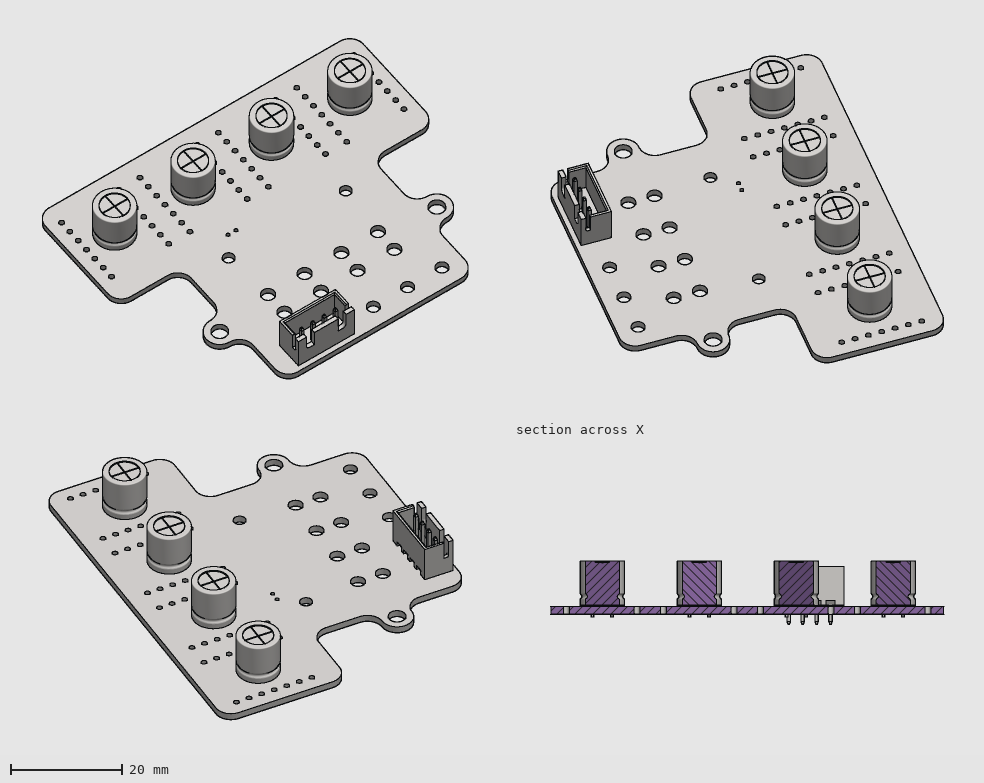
import cadquery as cq
import math


BOARD_LENGTH = 56.52
BOARD_THICKNESS = 1.4
SEAT_GAP = 0.2
SEAT_Z = BOARD_THICKNESS + SEAT_GAP
LEFT_WIDTH = 25.0
HALF_WIDTH = 35.285
CORNER_RADIUS = 3.0
EAR_RADIUS = 3.0
EAR_X = 40.81
EAR_Y = 24.105
EAR_HOLE_DIAMETER = 3.2
STEP_Y = EAR_Y - CORNER_RADIUS

MODULE_X = 11.65
MODULE_PITCH = 17.41
MODULE_COUNT = 4
HEADER_PITCH = 2.54
HEADER_HOLE_COUNT = 7
HEADER_ROW_SPACING = 12.7
HEADER_HOLE_DIAMETER = 1.02
TERMINAL_COLUMNS_X = (39.1, 44.1)
TERMINAL_PITCH = 8.13
TERMINAL_ROW_COUNT = 4
TERMINAL_HOLE_DIAMETER = 2.7
POWER_X = 52.48
POWER_PITCH = 7.62
POWER_COUNT = 3
POWER_CENTRE_Y = 9.12
POWER_HOLE_DIAMETER = 2.5
LOCATING_X = 28.18
LOCATING_SPACING = 26.0
LOCATING_HOLE_DIAMETER = 2.3
INNER_HOLES_Y = 0.06
VIA_X = 23.88
VIA_PITCH = 1.75
VIA_CENTRE_Y = -9.06
VIA_DIAMETER = 0.7

CAN_OFFSET_Y = -0.1
CAN_DIAMETER = 8.0
CAN_HEIGHT = 8.0
CAN_TOP_FILLET = 0.2
CRIMP_HEIGHT = 1.6
CRIMP_WIDTH = 0.9
CRIMP_DEPTH = 0.3
CRIMP_FILLET = 0.3
TOP_RECESS_DIAMETER = 5.6
TOP_RECESS_DEPTH = 0.25
SCORE_WIDTH = 0.1
SCORE_DEPTH = 0.1
LEAD_SPACING = 3.5
LEAD_DIAMETER = 0.5
LEAD_HOLE_DIAMETER = 0.8
LEAD_PROTRUSION = 0.5

HOUSING_X = 49.85
HOUSING_Y = -11.2
HOUSING_DEPTH = 5.75
HOUSING_LENGTH = 12.4
HOUSING_HEIGHT = 7.0
WALL_BOTTOM = 0.7
WALL_TOP = 0.45
LATCH_WALL = 0.9
LEAD_IN_HEIGHT = 0.25
FLOOR_THICKNESS = 1.5
SLOT_DEPTH = 3.5
END_SLOT_WIDTH = 0.9
END_SLOT_FILLET = 0.4
LATCH_SLOT_INNER = 2.65
LATCH_SLOT_OUTER = 4.4
LATCH_SLOT_FILLET = 0.8
BASE_NOTCH_WIDTH = 1.6
BASE_NOTCH_HEIGHT = 0.9
BASE_NOTCH_RUN = 0.6

PIN_COUNT = 4
PIN_PITCH = 2.5
PIN_WIDTH = 0.64
PIN_X = HOUSING_X + 3.4
PIN_HOLE_DIAMETER = 0.95
PIN_TOP = 6.8
PIN_BOTTOM = 3.4
PIN_TIP_LENGTH = 0.5
PIN_TIP_WIDTH = 0.3


def spread(count, pitch, centre=0.0):
    """Evenly spaced positions about a centre."""
    return [centre + (i - (count - 1) / 2) * pitch for i in range(count)]


MODULE_YS = spread(MODULE_COUNT, MODULE_PITCH)
CAN_YS = [y + CAN_OFFSET_Y for y in MODULE_YS]
LEAD_OFFSETS = spread(2, LEAD_SPACING)
PIN_YS = spread(PIN_COUNT, PIN_PITCH, HOUSING_Y)


def grid(xs, ys):
    return [(x, y) for x in xs for y in ys]


def board_blank():
    """Plate with a wide left part, a narrower right part and an ear on each long side."""
    r = CORNER_RADIUS
    left = (
        cq.Workplane("XY")
        .rect(LEFT_WIDTH, 2 * HALF_WIDTH)
        .extrude(BOARD_THICKNESS)
        .translate((LEFT_WIDTH / 2, 0, 0))
        .edges("|Z")
        .fillet(r)
    )
    right_length = BOARD_LENGTH - LEFT_WIDTH / 2
    right = (
        cq.Workplane("XY")
        .rect(right_length, 2 * STEP_Y)
        .extrude(BOARD_THICKNESS)
        .translate((BOARD_LENGTH - right_length / 2, 0, 0))
        .edges("|Z and >X")
        .fillet(r)
    )
    blank = left.union(right)
    for side in (1, -1):
        ear = cq.Workplane("XY").center(EAR_X, side * EAR_Y).circle(EAR_RADIUS).extrude(BOARD_THICKNESS)
        blank = blank.union(ear)
        for corner_x, direction in (
            (LEFT_WIDTH, 1),
            (EAR_X - EAR_RADIUS, -1),
            (EAR_X + EAR_RADIUS, 1),
        ):
            blank = blank.union(inside_corner(corner_x, direction, side))
        neck = (
            cq.Workplane("XY")
            .center(EAR_X, side * (STEP_Y + EAR_Y) / 2)
            .rect(2 * EAR_RADIUS, EAR_Y - STEP_Y)
            .extrude(BOARD_THICKNESS)
        )
        blank = blank.union(neck)
    return blank


def inside_corner(corner_x, direction, side):
    """Concave quarter-round that fills the corner between a side wall and the long edge."""
    r = CORNER_RADIUS
    to_arc = r * (1 - math.sqrt(0.5))
    return (
        cq.Workplane("XY")
        .moveTo(corner_x, side * STEP_Y)
        .lineTo(corner_x + direction * r, side * STEP_Y)
        .threePointArc(
            (corner_x + direction * to_arc, side * (STEP_Y + to_arc)),
            (corner_x, side * (STEP_Y + r)),
        )
        .close()
        .extrude(BOARD_THICKNESS)
    )


def make_board():
    header_xs = spread(HEADER_HOLE_COUNT, HEADER_PITCH, MODULE_X)
    header_ys = [y + row for y in MODULE_YS for row in spread(2, HEADER_ROW_SPACING)]
    terminal_ys = spread(TERMINAL_ROW_COUNT, TERMINAL_PITCH, INNER_HOLES_Y)
    lead_ys = [y + offset for y in CAN_YS for offset in LEAD_OFFSETS]
    hole_groups = [
        (EAR_HOLE_DIAMETER, grid([EAR_X], [-EAR_Y, EAR_Y])),
        (HEADER_HOLE_DIAMETER, grid(header_xs, header_ys)),
        (TERMINAL_HOLE_DIAMETER, grid(TERMINAL_COLUMNS_X, terminal_ys)),
        (POWER_HOLE_DIAMETER, grid([POWER_X], spread(POWER_COUNT, POWER_PITCH, POWER_CENTRE_Y))),
        (LOCATING_HOLE_DIAMETER, grid([LOCATING_X], spread(2, LOCATING_SPACING, INNER_HOLES_Y))),
        (VIA_DIAMETER, grid([VIA_X], spread(2, VIA_PITCH, VIA_CENTRE_Y))),
        (LEAD_HOLE_DIAMETER, grid([MODULE_X], lead_ys)),
        (PIN_HOLE_DIAMETER, grid([PIN_X], PIN_YS)),
    ]
    board = board_blank()
    for diameter, points in hole_groups:
        drills = cq.Workplane("XY").pushPoints(points).circle(diameter / 2).extrude(BOARD_THICKNESS)
        board = board.cut(drills)
    return board


def make_capacitor(y):
    """Can with a rounded rim, a crimp groove, a cross-scored recess on top and two leads."""
    radius = CAN_DIAMETER / 2
    crimp_low = CRIMP_HEIGHT - CRIMP_WIDTH / 2
    crimp_high = CRIMP_HEIGHT + CRIMP_WIDTH / 2
    crimp_edges = cq.selectors.BoxSelector(
        (-radius / 2, -radius / 2, crimp_low / 2),
        (radius / 2, radius / 2, CAN_HEIGHT / 2),
    )
    can = (
        cq.Workplane("XZ")
        .lineTo(radius, 0)
        .lineTo(radius, crimp_low)
        .threePointArc((radius - CRIMP_DEPTH, CRIMP_HEIGHT), (radius, crimp_high))
        .lineTo(radius, CAN_HEIGHT)
        .lineTo(0, CAN_HEIGHT)
        .close()
        .revolve(360, (0, 0, 0), (0, 1, 0))
        .faces(">Z")
        .edges()
        .fillet(CAN_TOP_FILLET)
        .edges(crimp_edges)
        .fillet(CRIMP_FILLET)
    )
    recess_floor = CAN_HEIGHT - TOP_RECESS_DEPTH
    recess = (
        cq.Workplane("XY", origin=(0, 0, recess_floor))
        .circle(TOP_RECESS_DIAMETER / 2)
        .extrude(TOP_RECESS_DEPTH)
    )
    can = can.cut(recess)
    for length_x, length_y in (
        (TOP_RECESS_DIAMETER, SCORE_WIDTH),
        (SCORE_WIDTH, TOP_RECESS_DIAMETER),
    ):
        score = (
            cq.Workplane("XY", origin=(0, 0, recess_floor - SCORE_DEPTH))
            .rect(length_x, length_y)
            .extrude(SCORE_DEPTH)
        )
        can = can.cut(score)
    leads = (
        cq.Workplane("XY")
        .pushPoints([(0, offset) for offset in LEAD_OFFSETS])
        .circle(LEAD_DIAMETER / 2)
        .extrude(-SEAT_Z - LEAD_PROTRUSION)
    )
    return can.union(leads).translate((MODULE_X, y, SEAT_Z))


def housing_cavity():
    """Open pocket whose left and end walls thin towards the rim."""
    cavity_depth = HOUSING_DEPTH - WALL_BOTTOM - LATCH_WALL
    cavity_length = HOUSING_LENGTH - 2 * WALL_BOTTOM
    cavity_x = WALL_BOTTOM + cavity_depth / 2
    straight = (
        cq.Workplane("XY", origin=(cavity_x, 0, FLOOR_THICKNESS))
        .rect(cavity_depth, cavity_length)
        .extrude(HOUSING_HEIGHT - FLOOR_THICKNESS)
    )
    flare = WALL_BOTTOM - WALL_TOP
    lead_in = (
        cq.Workplane("XY", origin=(cavity_x, 0, HOUSING_HEIGHT - LEAD_IN_HEIGHT))
        .rect(cavity_depth, cavity_length)
        .workplane(offset=LEAD_IN_HEIGHT)
        .center(-flare / 2, 0)
        .rect(cavity_depth + flare, cavity_length + 2 * flare)
        .loft(ruled=True)
    )
    return straight.union(lead_in)


def end_slot():
    """Slot through both end walls beside the right wall, rounded at one bottom corner."""
    slot_right = HOUSING_DEPTH - LATCH_WALL
    return (
        cq.Workplane("XY", origin=(slot_right - END_SLOT_WIDTH / 2, 0, HOUSING_HEIGHT - SLOT_DEPTH))
        .rect(END_SLOT_WIDTH, HOUSING_LENGTH)
        .extrude(SLOT_DEPTH)
        .edges("|Y and <Z and >X")
        .fillet(END_SLOT_FILLET)
    )


def latch_slot(side):
    """Slot through the right wall, rounded at its outer bottom corner."""
    slot_floor = HOUSING_HEIGHT - SLOT_DEPTH
    r = LATCH_SLOT_FILLET
    to_arc = r * (1 - math.sqrt(0.5))
    return (
        cq.Workplane("YZ", origin=(HOUSING_DEPTH - LATCH_WALL, 0, 0))
        .moveTo(side * LATCH_SLOT_INNER, slot_floor)
        .lineTo(side * (LATCH_SLOT_OUTER - r), slot_floor)
        .threePointArc(
            (side * (LATCH_SLOT_OUTER - to_arc), slot_floor + to_arc),
            (side * LATCH_SLOT_OUTER, slot_floor + r),
        )
        .lineTo(side * LATCH_SLOT_OUTER, HOUSING_HEIGHT)
        .lineTo(side * LATCH_SLOT_INNER, HOUSING_HEIGHT)
        .close()
        .extrude(LATCH_WALL)
    )


def base_notch(y):
    """Notch with a sloping roof, cut into the bottom of the left face."""
    return (
        cq.Workplane("XZ", origin=(0, y + BASE_NOTCH_WIDTH / 2, 0))
        .lineTo(BASE_NOTCH_RUN, 0)
        .lineTo(0, BASE_NOTCH_HEIGHT)
        .close()
        .extrude(BASE_NOTCH_WIDTH)
    )


def make_pin():
    """Square pin with a tapered tip at each end, centred on the Z axis."""
    pin = (
        cq.Workplane("XY", origin=(0, 0, PIN_TIP_LENGTH - PIN_BOTTOM))
        .rect(PIN_WIDTH, PIN_WIDTH)
        .extrude(PIN_TOP + PIN_BOTTOM - 2 * PIN_TIP_LENGTH)
    )
    for tip_start, direction in ((PIN_TOP - PIN_TIP_LENGTH, 1), (PIN_TIP_LENGTH - PIN_BOTTOM, -1)):
        tip = (
            cq.Workplane("XY", origin=(0, 0, tip_start))
            .rect(PIN_WIDTH, PIN_WIDTH)
            .workplane(offset=direction * PIN_TIP_LENGTH)
            .rect(PIN_TIP_WIDTH, PIN_TIP_WIDTH)
            .loft(ruled=True)
        )
        pin = pin.union(tip)
    return pin


def make_connector():
    connector = (
        cq.Workplane("XY", origin=(HOUSING_DEPTH / 2, 0, 0))
        .rect(HOUSING_DEPTH, HOUSING_LENGTH)
        .extrude(HOUSING_HEIGHT)
        .cut(housing_cavity())
        .cut(end_slot())
    )
    for side in (1, -1):
        connector = connector.cut(latch_slot(side))
    pin = make_pin()
    for y in spread(PIN_COUNT, PIN_PITCH):
        connector = connector.cut(base_notch(y))
        connector = connector.union(pin.translate((PIN_X - HOUSING_X, y, 0)))
    return connector.translate((HOUSING_X, HOUSING_Y, SEAT_Z))


board = make_board()
capacitors = [make_capacitor(y) for y in CAN_YS]
connector = make_connector()

result = cq.Compound.makeCompound(
    [board.val(), *[capacitor.val() for capacitor in capacitors], connector.val()]
)